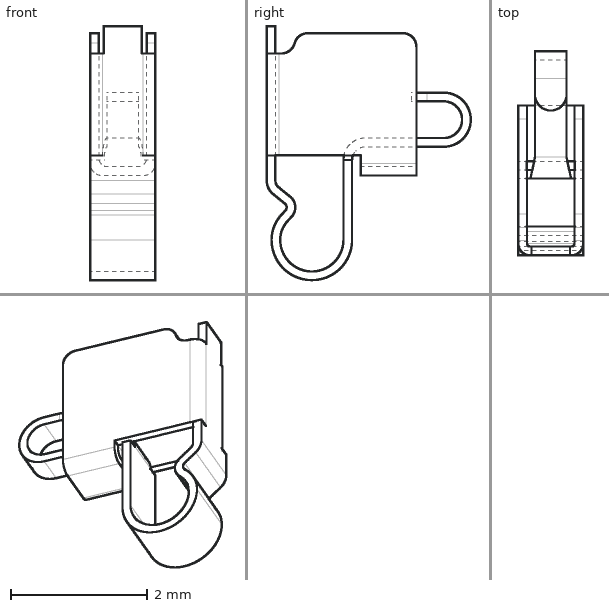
import cadquery as cq
import math


sheet = 0.13
width = 0.96
height = 3.73
length = 3.0
body_depth = 2.2
wall_bottom = 1.835
wall_top = 3.63
wall_front_top = 3.33
tab_width = 0.565
corner_radius = 0.18
step_front_y = 0.215
wall_round = 0.2

floor_bottom = 1.535
floor_front = 1.38
floor_inner_round = 0.123

shoulder_bend = 0.185
shoulder_z = 1.462
notch_bend = 0.135
notch_y = 0.225
notch_z = 1.07
upper_loop_bend = 0.475
arm_rear = 1.257
loop_outer = 0.593
arm_bend_outer = 0.32

hook_width = 0.463
hook_bottom = 1.96
hook_outer = 0.4
hook_tip_y = 2.125
taper_width = 0.595

half_sheet = sheet / 2
inner_width = width - 2 * sheet
corner_inner = corner_radius - sheet


def block(x_size, y_min, y_max, z_min, z_max):
    """Box centred on X = 0."""
    box = cq.Workplane("XY").box(x_size, y_max - y_min, z_max - z_min, centered=(True, False, False))
    return box.translate((0, y_min, z_min))


def extrude_x(profile, x_size):
    """Extrude a closed YZ profile symmetrically about X = 0."""
    return profile.close().extrude(x_size / 2, both=True)


def polar(centre, radius, degrees):
    angle = math.radians(degrees)
    return (centre[0] + radius * math.cos(angle), centre[1] + radius * math.sin(angle))


def crossing_tangent(centre, radius, other_centre, other_radius, side):
    """Angle on the first circle where a line leaves it to pass to the opposite side of the second."""
    across = other_centre[0] - centre[0]
    up = other_centre[1] - centre[1]
    direction = math.degrees(math.atan2(up, across)) % 360
    offset = math.degrees(math.acos((radius + other_radius) / math.hypot(across, up)))
    return direction + side * offset


def make_walls():
    outer = block(width, 0, body_depth, wall_bottom, wall_top).edges("|Z and <Y").fillet(corner_radius)
    inner = block(inner_width, sheet, length, wall_bottom, wall_top).edges("|Z and <Y").fillet(corner_inner)

    drop = wall_top - wall_front_top
    half_run = math.sqrt(wall_round * drop - (drop / 2) ** 2)
    step_middle = step_front_y + half_run
    step_rear = step_middle + half_run
    side = (
        cq.Workplane("YZ")
        .moveTo(0, wall_bottom)
        .lineTo(body_depth, wall_bottom)
        .lineTo(body_depth, wall_top - wall_round)
        .radiusArc((body_depth - wall_round, wall_top), -wall_round)
        .lineTo(step_rear, wall_top)
        .radiusArc((step_middle, wall_top - drop / 2), -wall_round)
        .radiusArc((step_front_y, wall_front_top), wall_round)
        .lineTo(0, wall_front_top)
    )
    return outer.cut(inner).intersect(extrude_x(side, width))


def make_floor():
    floor_top = floor_bottom + sheet
    outer = block(width, floor_front, body_depth, floor_bottom, wall_bottom)
    inner = block(inner_width, floor_front, body_depth, floor_top, wall_bottom)
    outer = outer.edges("|Y and <Z").fillet(corner_radius)
    return outer.cut(inner.edges("|Y and <Z").fillet(floor_inner_round))


def make_front_spring():
    """Front strip, S-bend and U loop ending at the top of the full-width arm."""
    loop_bend = loop_outer - half_sheet
    shoulder = (half_sheet + shoulder_bend, shoulder_z)
    loop = (arm_rear - loop_outer, loop_outer)
    upper_loop = (loop[0] - loop_bend + upper_loop_bend, loop_outer)
    notch = (notch_y, notch_z)

    shoulder_end = crossing_tangent(shoulder, shoulder_bend, notch, notch_bend, -1)
    notch_start = shoulder_end - 180
    upper_loop_start = crossing_tangent(upper_loop, upper_loop_bend, notch, notch_bend, 1)
    notch_end = upper_loop_start - 180
    arm_top = hook_bottom + sheet - arm_bend_outer

    def arc_points(centre, radius, start, end):
        return [polar(centre, radius, a) for a in (start, (start + end) / 2, end)]

    def face_arcs(offset):
        """Bends of one sheet face, offset toward the outside of the loop."""
        return [
            arc_points(shoulder, shoulder_bend + offset, 180, shoulder_end),
            arc_points(notch, notch_bend - offset, notch_start, notch_end),
            arc_points(upper_loop, upper_loop_bend + offset, upper_loop_start, 180),
            arc_points(loop, loop_bend + offset, 180, 360),
        ]

    profile = cq.Workplane("YZ").moveTo(0, wall_bottom)
    outer_shoulder, outer_notch, outer_upper, outer_loop = face_arcs(half_sheet)
    profile = profile.lineTo(*outer_shoulder[0]).threePointArc(*outer_shoulder[1:])
    profile = profile.lineTo(*outer_notch[0]).threePointArc(*outer_notch[1:])
    profile = profile.lineTo(*outer_upper[0]).threePointArc(*outer_upper[1:])
    profile = profile.threePointArc(*outer_loop[1:])
    profile = profile.lineTo(arm_rear, arm_top).lineTo(arm_rear - sheet, arm_top)

    inner_shoulder, inner_notch, inner_upper, inner_loop = face_arcs(-half_sheet)
    profile = profile.lineTo(*inner_loop[2]).threePointArc(inner_loop[1], inner_loop[0])
    profile = profile.threePointArc(inner_upper[1], inner_upper[0])
    profile = profile.lineTo(*inner_notch[2]).threePointArc(inner_notch[1], inner_notch[0])
    profile = profile.lineTo(*inner_shoulder[2]).threePointArc(inner_shoulder[1], inner_shoulder[0])
    profile = profile.lineTo(sheet, wall_bottom)
    return extrude_x(profile, width)


def make_hook():
    hook_top = hook_bottom + 2 * hook_outer
    hook_inner = hook_outer - sheet
    loop_y = length - hook_outer
    arm_front = arm_rear - sheet
    bend_y = arm_front + arm_bend_outer
    strand_top = hook_bottom + sheet
    bend_z = strand_top - arm_bend_outer
    bend_inner = arm_bend_outer - sheet
    strip = (
        cq.Workplane("YZ")
        .moveTo(arm_front, bend_z)
        .radiusArc((bend_y, strand_top), arm_bend_outer)
        .lineTo(loop_y, strand_top)
        .threePointArc((loop_y + hook_inner, hook_bottom + hook_outer), (loop_y, hook_top - sheet))
        .lineTo(hook_tip_y, hook_top - sheet)
        .lineTo(hook_tip_y, hook_top)
        .lineTo(loop_y, hook_top)
        .threePointArc((length, hook_bottom + hook_outer), (loop_y, hook_bottom))
        .lineTo(bend_y, hook_bottom)
        .radiusArc((arm_rear, bend_z), -bend_inner)
    )
    half_hook = hook_width / 2
    half_taper = taper_width / 2
    plan = (
        cq.Workplane("XY")
        .polyline([
            (-half_taper, arm_front),
            (half_taper, arm_front),
            (half_hook, bend_y),
            (half_hook, length),
            (-half_hook, length),
            (-half_hook, bend_y),
        ])
        .close()
        .extrude(height)
    )
    tip_centre_y = hook_tip_y + half_hook
    tip_waste = block(hook_width, hook_tip_y, tip_centre_y, hook_top - sheet, hook_top)
    tip_round = cq.Workplane("XY").center(0, tip_centre_y).circle(half_hook).extrude(height)
    return extrude_x(strip, taper_width).intersect(plan).cut(tip_waste.cut(tip_round))


front_tab = block(tab_width, 0, sheet, wall_bottom, height)
result = make_walls().union(front_tab).union(make_floor()).union(make_front_spring()).union(make_hook())